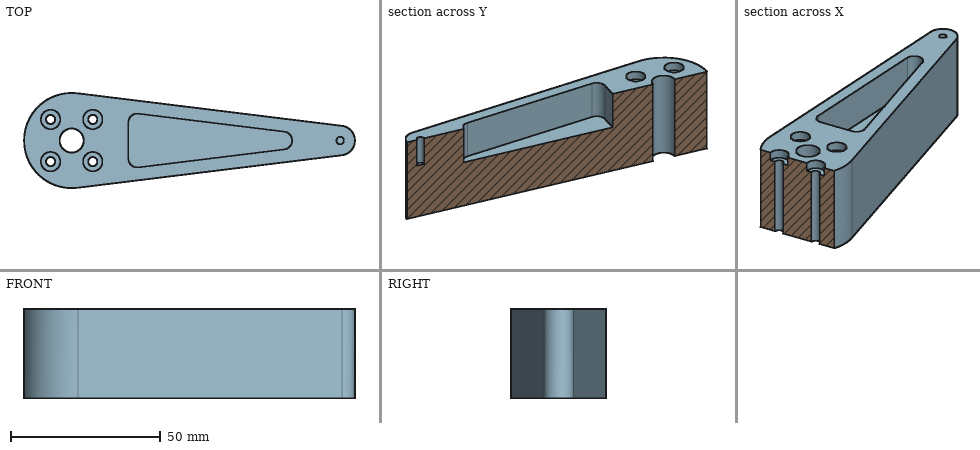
import cadquery as cq
import math

HEIGHT = 30.0
HUB_RADIUS = 16.0
TIP_RADIUS = 5.0
CENTRE_DISTANCE = 90.0

BORE_DIAMETER = 8.0
BOLT_CIRCLE_RADIUS = 10.0
BOLT_COUNT = 4
BOLT_START_ANGLE = 45.0
FULL_TURN = 360.0
BOLT_DIAMETER = 3.0
COUNTERBORE_DIAMETER = 6.5
COUNTERBORE_DEPTH = 3.0

TIP_HOLE_DIAMETER = 2.5
TIP_HOLE_DEPTH = 10.0

POCKET_START_X = 19.0
POCKET_END_X = 73.9
POCKET_CORNER_RADIUS = 3.0
POCKET_DEPTH = 13.0

TAPER_SINE = (HUB_RADIUS - TIP_RADIUS) / CENTRE_DISTANCE
TAPER_COSINE = math.sqrt(1 - TAPER_SINE**2)


def point_on_arc(centre_x, radius):
    """Upper point where a taper side touches an arc centred on the X axis."""
    return centre_x + radius * TAPER_SINE, radius * TAPER_COSINE


def mirrored(point):
    """The same point on the other side of the X axis."""
    return point[0], -point[1]


def make_body():
    hub_tangent = point_on_arc(0, HUB_RADIUS)
    tip_tangent = point_on_arc(CENTRE_DISTANCE, TIP_RADIUS)
    return (
        cq.Workplane("XY")
        .moveTo(*hub_tangent)
        .lineTo(*tip_tangent)
        .threePointArc((CENTRE_DISTANCE + TIP_RADIUS, 0), mirrored(tip_tangent))
        .lineTo(*mirrored(hub_tangent))
        .threePointArc((-HUB_RADIUS, 0), hub_tangent)
        .close()
        .extrude(HEIGHT)
    )


def make_pocket():
    """Tapered pocket with two rounded corners and a round narrow end."""
    end_centre_x = POCKET_END_X - POCKET_CORNER_RADIUS
    end_tangent = point_on_arc(end_centre_x, POCKET_CORNER_RADIUS)
    side_length = (end_tangent[0] - POCKET_START_X) / TAPER_COSINE
    start_corner = (POCKET_START_X, end_tangent[1] + side_length * TAPER_SINE)
    return (
        cq.Workplane("XY", origin=(0, 0, HEIGHT - POCKET_DEPTH))
        .moveTo(*start_corner)
        .lineTo(*end_tangent)
        .threePointArc((POCKET_END_X, 0), mirrored(end_tangent))
        .lineTo(*mirrored(start_corner))
        .close()
        .extrude(POCKET_DEPTH)
        .edges("|Z and <X")
        .fillet(POCKET_CORNER_RADIUS)
    )


def cut_hub_holes(body):
    bored = body.faces(">Z").workplane(origin=(0, 0, HEIGHT)).hole(BORE_DIAMETER)
    return (
        bored.faces(">Z")
        .workplane(origin=(0, 0, HEIGHT))
        .polarArray(BOLT_CIRCLE_RADIUS, BOLT_START_ANGLE, FULL_TURN, BOLT_COUNT)
        .cboreHole(BOLT_DIAMETER, COUNTERBORE_DIAMETER, COUNTERBORE_DEPTH)
    )


def cut_tip_hole(body):
    return (
        body.faces(">Z")
        .workplane(origin=(CENTRE_DISTANCE, 0, HEIGHT))
        .circle(TIP_HOLE_DIAMETER / 2)
        .cutBlind(-TIP_HOLE_DEPTH)
    )


lever = make_body().cut(make_pocket())
lever = cut_hub_holes(lever)
result = cut_tip_hole(lever)